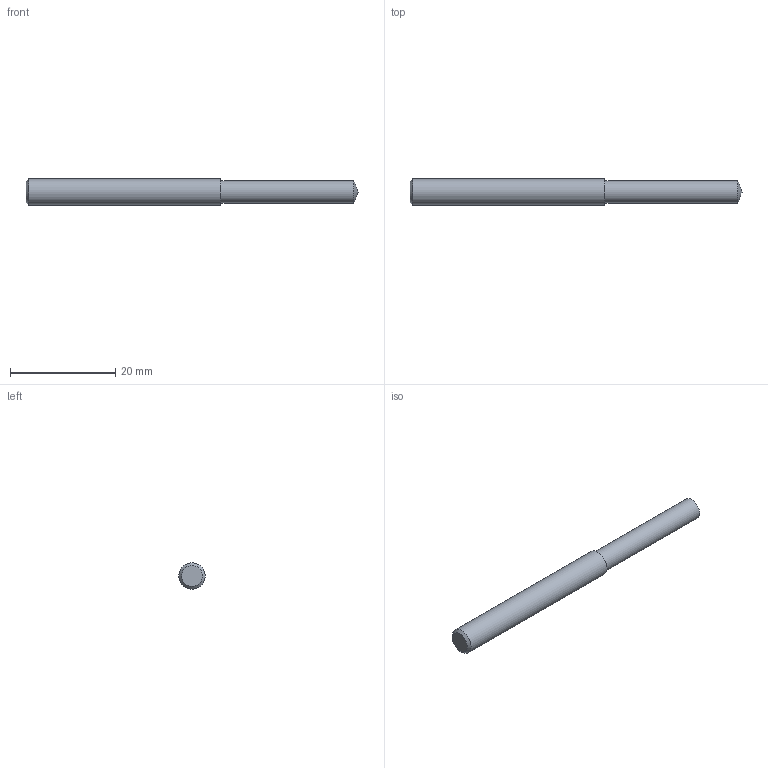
import cadquery as cq
import math

overall_length = 63.0
shank_diameter = 5.0
shank_length = 37.0
shank_chamfer = 0.5
cutting_diameter = 4.2
point_angle = 140.0

shank_radius = shank_diameter / 2
cutting_radius = cutting_diameter / 2
point_length = cutting_radius / math.tan(math.radians(point_angle / 2))
point_start = overall_length - point_length


def make_drill():
    """Revolve the half profile about the X axis, with the shank end at X = 0."""
    half_profile = (
        cq.Workplane("XY")
        .moveTo(0, 0)
        .lineTo(0, shank_radius - shank_chamfer)
        .lineTo(shank_chamfer, shank_radius)
        .lineTo(shank_length, shank_radius)
        .lineTo(shank_length, cutting_radius)
        .lineTo(point_start, cutting_radius)
        .lineTo(overall_length, 0)
        .close()
    )
    return half_profile.revolve(360, (0, 0, 0), (1, 0, 0))


result = make_drill()